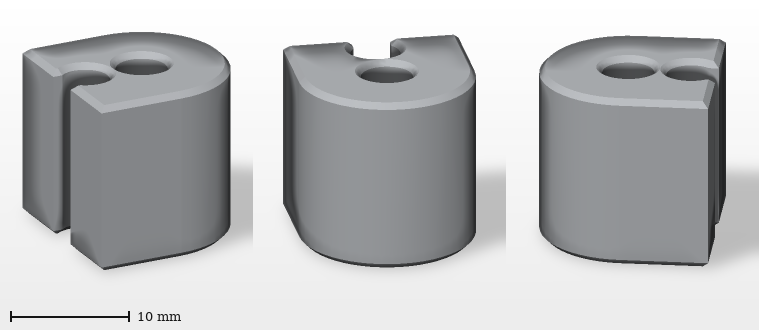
import cadquery as cq

width = 15.0
height = 15.0
straight_length = 7.5
chamfer = 0.5
main_hole_diameter = 4.4
slot_hole_diameter = 4.2
slot_hole_offset = 5.32
slot_width = 3.24

back_radius = width / 2
front_y = -straight_length


def make_body():
    """D-shaped block with a round back, chamfered around both ends."""
    return (
        cq.Workplane("XY")
        .moveTo(-back_radius, front_y)
        .lineTo(back_radius, front_y)
        .lineTo(back_radius, 0)
        .threePointArc((0, back_radius), (-back_radius, 0))
        .close()
        .extrude(height)
        .faces("|Z")
        .chamfer(chamfer)
    )


def make_hole_cutter(diameter, y):
    """Vertical through hole, countersunk at both ends."""
    radius = diameter / 2
    mouth_radius = radius + chamfer
    profile = [
        (0, 0),
        (mouth_radius, 0),
        (radius, chamfer),
        (radius, height - chamfer),
        (mouth_radius, height),
        (0, height),
    ]
    cutter = cq.Workplane("XZ").polyline(profile).close().revolve(360, (0, 0), (0, 1))
    return cutter.translate((0, y, 0))


def make_slot_cutter():
    """Slot joining the front hole to the front face, flared at both ends to chamfer its edges."""
    slot_length = straight_length - slot_hole_offset
    half_width = slot_width / 2
    mouth_half_width = half_width + chamfer
    profile = [
        (-mouth_half_width, 0),
        (mouth_half_width, 0),
        (half_width, chamfer),
        (half_width, height - chamfer),
        (mouth_half_width, height),
        (-mouth_half_width, height),
        (-half_width, height - chamfer),
        (-half_width, chamfer),
    ]
    cutter = cq.Workplane("XZ").polyline(profile).close().extrude(slot_length)
    return cutter.translate((0, -slot_hole_offset, 0))


result = (
    make_body()
    .cut(make_hole_cutter(main_hole_diameter, 0))
    .cut(make_hole_cutter(slot_hole_diameter, -slot_hole_offset))
    .cut(make_slot_cutter())
)